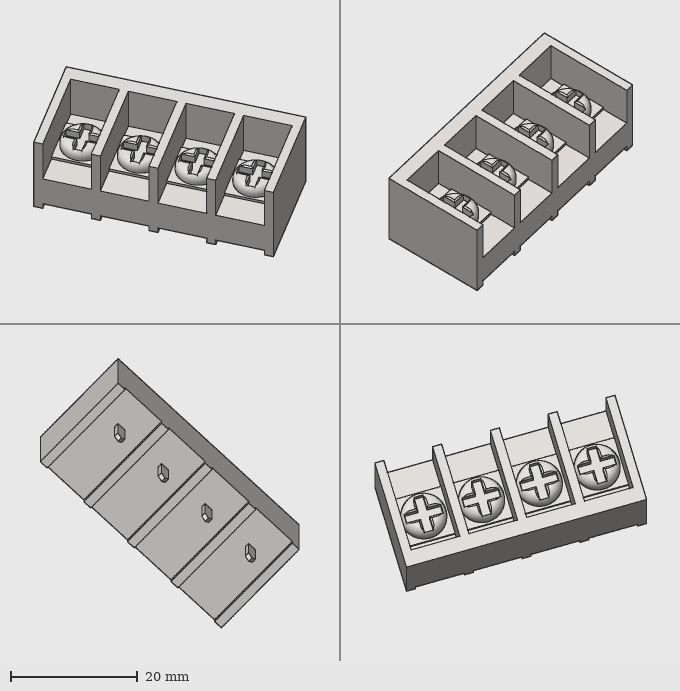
import cadquery as cq
import math

POLES = 4
PITCH = 9.5
WALL = 1.5
BAY_WIDTH = PITCH - WALL
BODY_LENGTH = POLES * PITCH + WALL
BODY_DEPTH = 17.8
BODY_HEIGHT = 14.2
BACK_WALL = 2.5
BAY_FLOOR_Z = 6.5
FOOT_HEIGHT = 1.0

PLATE_DEPTH = 8.0
PLATE_THICKNESS = 0.5
PLATE_BACK_GAP = 2.6
PLATE_TOP_Z = BAY_FLOOR_Z + PLATE_THICKNESS

HEAD_RADIUS = 7.3 / 2
HEAD_HEIGHT = 2.0
HEAD_RIM = 0.5
HEAD_ROUND = HEAD_HEIGHT - HEAD_RIM
RECESS_LENGTH = 6.0
RECESS_WIDTH = 1.5
RECESS_DEPTH = 1.5
FLARE_WIDTH = 0.3
FLARE_DEPTH = 0.2
HEAD_TOP_Z = PLATE_TOP_Z + HEAD_HEIGHT

PIN_WIDTH = 1.5
PIN_THICKNESS = 0.75
PIN_LENGTH = 5.5
PIN_POINT = 1.15
PIN_BACK_OFFSET = 5.4

FRONT_Y = -BODY_DEPTH / 2
BACK_Y = BODY_DEPTH / 2
SCREW_Y = BACK_Y - BACK_WALL - PLATE_BACK_GAP - PLATE_DEPTH / 2
PIN_Y = BACK_Y - PIN_BACK_OFFSET
BAY_CENTRES = [(i - (POLES - 1) / 2) * PITCH for i in range(POLES)]


def box_at(length, depth, height, x, y, z):
    """Box centred on x and y whose underside is at z."""
    block = cq.Workplane("XY").box(length, depth, height, centered=(True, True, False))
    return block.translate((x, y, z))


def make_body():
    """Block with open-front bays above and full-depth channels between the feet."""
    body = box_at(BODY_LENGTH, BODY_DEPTH, BODY_HEIGHT, 0, 0, 0)
    bay_depth = BODY_DEPTH - BACK_WALL
    bay_height = BODY_HEIGHT - BAY_FLOOR_Z
    bay_y = FRONT_Y + bay_depth / 2
    for x in BAY_CENTRES:
        bay = box_at(BAY_WIDTH, bay_depth, bay_height, x, bay_y, BAY_FLOOR_Z)
        channel = box_at(BAY_WIDTH, BODY_DEPTH, FOOT_HEIGHT, x, 0, 0)
        body = body.cut(bay).cut(channel)
    return body


def make_recess_arm():
    """One slot of the cross recess along X, with its two long upper edges flared outward."""
    half = RECESS_WIDTH / 2
    mouth = half + FLARE_WIDTH
    flare_z = HEAD_TOP_Z - FLARE_DEPTH
    floor_z = HEAD_TOP_Z - RECESS_DEPTH
    outline = [
        (-half, floor_z),
        (half, floor_z),
        (half, flare_z),
        (mouth, HEAD_TOP_Z),
        (-mouth, HEAD_TOP_Z),
        (-half, flare_z),
    ]
    return cq.Workplane("YZ").polyline(outline).close().extrude(RECESS_LENGTH / 2, both=True)


def make_screw():
    """Screw head standing on the clamp plate, centred on the Z axis."""
    shoulder_z = PLATE_TOP_Z + HEAD_RIM
    flat_radius = HEAD_RADIUS - HEAD_ROUND
    mid = HEAD_ROUND * math.sqrt(0.5)
    profile = (
        cq.Workplane("XZ")
        .moveTo(0, PLATE_TOP_Z)
        .lineTo(HEAD_RADIUS, PLATE_TOP_Z)
        .lineTo(HEAD_RADIUS, shoulder_z)
        .threePointArc((flat_radius + mid, shoulder_z + mid), (flat_radius, HEAD_TOP_Z))
        .lineTo(0, HEAD_TOP_Z)
        .close()
    )
    head = profile.revolve(360, (0, 0, 0), (0, 1, 0))
    arm = make_recess_arm()
    return head.cut(arm).cut(arm.rotate((0, 0, 0), (0, 0, 1), 90))


def make_pin():
    """Flat pin with a pointed tip, centred on X = 0 and on the pin row in Y."""
    half = PIN_WIDTH / 2
    tip_z = -PIN_LENGTH
    outline = [
        (-half, FOOT_HEIGHT),
        (-half, tip_z + PIN_POINT),
        (0, tip_z),
        (half, tip_z + PIN_POINT),
        (half, FOOT_HEIGHT),
    ]
    pin = cq.Workplane("XZ").polyline(outline).close().extrude(PIN_THICKNESS / 2, both=True)
    return pin.translate((0, PIN_Y, 0))


result = make_body()
screw = make_screw()
pin = make_pin()
for x in BAY_CENTRES:
    plate = box_at(BAY_WIDTH, PLATE_DEPTH, PLATE_THICKNESS, x, SCREW_Y, BAY_FLOOR_Z)
    result = result.union(plate)
    result = result.union(screw.translate((x, SCREW_Y, 0)))
    result = result.union(pin.translate((x, 0, 0)))